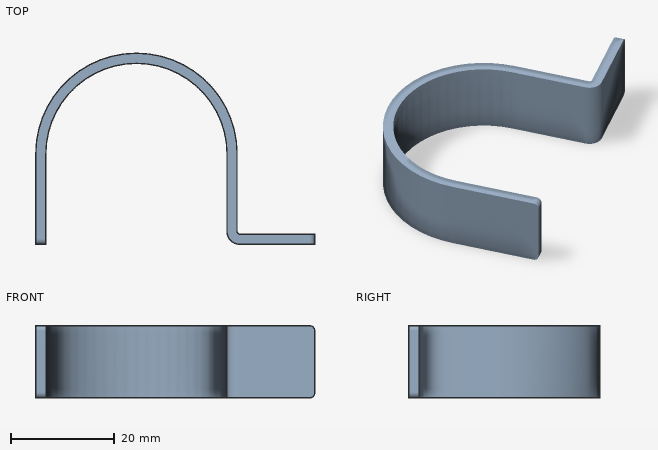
import cadquery as cq

length = 54.0
depth = 37.0
width = 14.0

thickness = 2.0
arch_outer_radius = 19.5
bend_inner_radius = 0.5
corner_radius = 1.0

arch_inner_radius = arch_outer_radius - thickness
bend_outer_radius = bend_inner_radius + thickness
foot_y = arch_outer_radius - depth
tab_top_y = foot_y + thickness
tab_end_x = length - arch_outer_radius
bend_x = arch_inner_radius + bend_outer_radius
bend_y = foot_y + bend_outer_radius


def bent_strip():
    """Constant-thickness strip: left leg, half-round arch, right leg, bend and tab."""
    profile = (
        cq.Workplane("XY")
        .moveTo(-arch_outer_radius, foot_y)
        .lineTo(-arch_outer_radius, 0)
        .threePointArc((0, arch_outer_radius), (arch_outer_radius, 0))
        .lineTo(arch_outer_radius, bend_y)
        .radiusArc((bend_x, tab_top_y), -bend_inner_radius)
        .lineTo(tab_end_x, tab_top_y)
        .lineTo(tab_end_x, foot_y)
        .lineTo(bend_x, foot_y)
        .radiusArc((arch_inner_radius, bend_y), bend_outer_radius)
        .lineTo(arch_inner_radius, 0)
        .threePointArc((0, arch_inner_radius), (-arch_inner_radius, 0))
        .lineTo(-arch_inner_radius, foot_y)
        .close()
    )
    return profile.extrude(width)


def round_free_ends(strip):
    """Round the corners of the tab end and of the left leg end."""
    leg_end = cq.selectors.BoxSelector(
        (-arch_outer_radius, foot_y - thickness, -thickness),
        (-arch_inner_radius, foot_y + thickness, width + thickness),
    )
    strip = strip.edges(leg_end).edges("|X").fillet(corner_radius)
    return strip.faces(">X").edges("|Y").fillet(corner_radius)


result = round_free_ends(bent_strip())